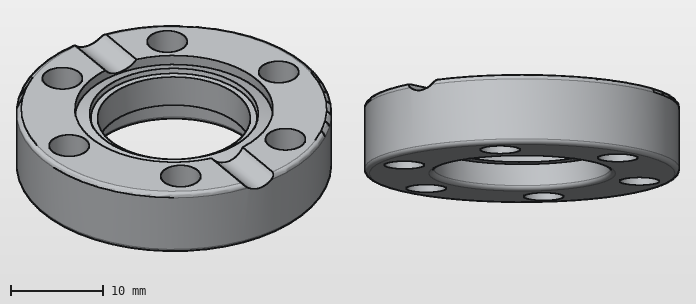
import cadquery as cq

outer_diameter = 34.0
thickness = 7.6
edge_radius = 0.5

recess_diameter = 21.4
recess_depth = 1.15
knife_diameter = 18.22
knife_depth = 0.65
knife_base_diameter = 17.92
inner_floor_depth = 1.2

bore_diameter = 16.5
socket_diameter = 19.1
socket_depth = 2.82

bolt_count = 6
bolt_diameter = 4.32
bolt_circle_diameter = 27.0
first_bolt_angle = 90

groove_width = 4.0
groove_depth = 1.02
groove_radius = ((groove_width / 2) ** 2 + groove_depth**2) / (2 * groove_depth)


def make_ring():
    """Revolve the flange section, then round its outer rims and the socket mouth."""
    section = [
        (socket_diameter / 2, 0),
        (outer_diameter / 2, 0),
        (outer_diameter / 2, thickness),
        (recess_diameter / 2, thickness),
        (recess_diameter / 2, thickness - recess_depth),
        (knife_diameter / 2, thickness - knife_depth),
        (knife_base_diameter / 2, thickness - inner_floor_depth),
        (bore_diameter / 2, thickness - inner_floor_depth),
        (bore_diameter / 2, socket_depth),
        (socket_diameter / 2, socket_depth),
    ]
    ring = cq.Workplane("XZ").polyline(section).close().revolve(360, (0, 0), (0, 1))
    ring = ring.faces("<Z").edges().fillet(edge_radius)
    return ring.faces(">Z").edges(cq.selectors.RadiusNthSelector(-1)).fillet(edge_radius)


def make_bolt_holes():
    return (
        cq.Workplane("XY")
        .polarArray(bolt_circle_diameter / 2, first_bolt_angle, 360, bolt_count)
        .circle(bolt_diameter / 2)
        .extrude(thickness)
    )


def make_grooves():
    """Round-bottomed channel along X, interrupted by the seal recess."""
    channel = (
        cq.Workplane("YZ")
        .center(0, thickness - groove_depth + groove_radius)
        .circle(groove_radius)
        .extrude(outer_diameter / 2, both=True)
    )
    recess_core = cq.Workplane("XY").circle(recess_diameter / 2).extrude(2 * thickness)
    return channel.cut(recess_core)


result = make_ring().cut(make_bolt_holes()).cut(make_grooves())